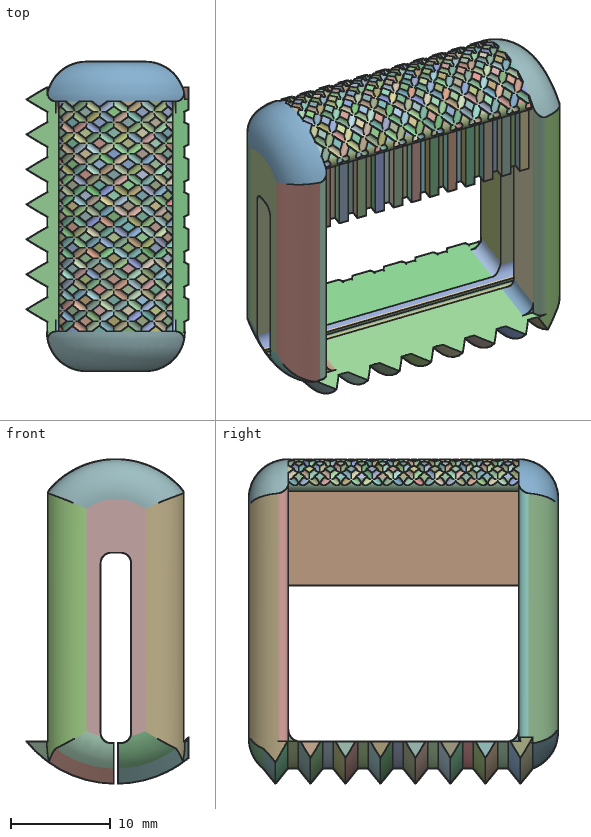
import cadquery as cq
import math

LENGTH = 31.0
HEIGHT = 32.5
WALL = 4.0
CORNER_R = 4.0
FLAT_HALF_WIDTH = 2.93
INNER_EDGE_R = 0.8
CROWN_R = 8.78

WINDOW_HALF = LENGTH / 2 - WALL
CROWN_AXIS_Z = HEIGHT - CROWN_R

FLOOR_Z = 4.25
FLOOR_FILLET_R = 1.15
TOOTH_TIP_R = 11.55
TOOTH_DEPTH = 1.53
TOOTH_HALF_WIDTH = 1.25
TOOTH_COUNT = 8
FIRST_TOOTH_Y = 11.7
LAST_TOOTH_Y = -12.8
TOOTH_CUT_X = 7.28

BASE_R = TOOTH_TIP_R - TOOTH_DEPTH
BASE_AXIS_Z = TOOTH_TIP_R
TOOTH_PITCH = (FIRST_TOOTH_Y - LAST_TOOTH_Y) / (TOOTH_COUNT - 1)

SLOT_WIDTH = 3.02
SLOT_BOTTOM = 4.1
SLOT_TOP = 23.1
SLOT_CORNER_R = 1.0
SLIT_WIDTH = 0.4

PAD_BOTTOM = 29.3
PAD_EDGE_R = 0.75
BEAM_HALF_WIDTH = 5.0
RIBBED_SIDE_BOTTOM = 21.72
PLAIN_SIDE_BOTTOM = 19.83
RIB_GROOVES = 11
RIB_GROOVE_DEPTH = 1.0

KNURL_ROWS = 11
KNURL_COLUMNS = 10
KNURL_CELL_ANGLE = 9.5
KNURL_PHASE = -1.3
KNURL_GROOVE_R = 0.4
KNURL_OVERRUN = 5.0

KNURL_CELL_LENGTH = WINDOW_HALF / KNURL_ROWS


def block(x0, x1, y0, y1, z0, z1):
    """Box given by its limits on the three axes."""
    return cq.Workplane("XY").box(x1 - x0, y1 - y0, z1 - z0, centered=False).translate((x0, y0, z0))


def base_end_center(tooth_edge):
    """Distance from the base axis to the centre of an end rounding.

    The rounding is tangent to the end face and meets the base at the outer tooth edge.
    """
    return BASE_R - math.sqrt(CORNER_R**2 - (tooth_edge - WINDOW_HALF) ** 2)


def envelope():
    """Outer shape limiting the crown above and the base below."""
    big = HEIGHT
    crown = cq.Workplane("XZ", origin=(0, LENGTH / 2, CROWN_AXIS_Z)).circle(CROWN_R).extrude(LENGTH)
    crown = crown.edges("%CIRCLE").fillet(CORNER_R)
    crown = crown.intersect(block(-big, big, -big, big, CROWN_AXIS_Z, big))
    first_edge = FIRST_TOOTH_Y + TOOTH_HALF_WIDTH
    last_edge = LAST_TOOTH_Y - TOOTH_HALF_WIDTH
    base = (
        cq.Workplane("YZ", origin=(0, 0, BASE_AXIS_Z))
        .moveTo(-LENGTH / 2, 0)
        .lineTo(-LENGTH / 2, -base_end_center(-last_edge))
        .radiusArc((last_edge, -BASE_R), -CORNER_R)
        .lineTo(first_edge, -BASE_R)
        .radiusArc((LENGTH / 2, -base_end_center(first_edge)), -CORNER_R)
        .lineTo(LENGTH / 2, 0)
        .close()
        .revolve(360, (0, 0), (1, 0))
    )
    base = base.intersect(block(-big, big, -big, big, 0, BASE_AXIS_Z))
    middle = block(-CROWN_R, CROWN_R, -LENGTH / 2, LENGTH / 2, BASE_AXIS_Z, CROWN_AXIS_Z)
    return middle.union(crown).union(base)


def full_plan(height):
    """Rounded rectangle covering the whole part seen along Z."""
    width = 2 * (FLAT_HALF_WIDTH + CORNER_R)
    return cq.Workplane("XY").rect(width, LENGTH).extrude(height).edges("|Z").fillet(CORNER_R)


def leg():
    """Leg at the +Y end: flat, large outer rounds, small inner rounds."""
    reach = CORNER_R - INNER_EDGE_R
    small_x = FLAT_HALF_WIDTH + math.sqrt(reach**2 - INNER_EDGE_R**2)
    small_y = WINDOW_HALF + INNER_EDGE_R
    scale = CORNER_R / reach
    touch = (FLAT_HALF_WIDTH + (small_x - FLAT_HALF_WIDTH) * scale, WINDOW_HALF + INNER_EDGE_R * scale)
    outer_mid_angle = math.asin(INNER_EDGE_R / reach) / 2 + math.pi / 4
    outer_mid = (
        FLAT_HALF_WIDTH + CORNER_R * math.cos(outer_mid_angle),
        WINDOW_HALF + CORNER_R * math.sin(outer_mid_angle),
    )
    diagonal = INNER_EDGE_R * math.sqrt(0.5)
    inner_mid = (small_x + diagonal, small_y - diagonal)
    half = (
        cq.Workplane("XY")
        .moveTo(0, WINDOW_HALF)
        .lineTo(small_x, WINDOW_HALF)
        .threePointArc(inner_mid, touch)
        .threePointArc(outer_mid, (FLAT_HALF_WIDTH, LENGTH / 2))
        .lineTo(0, LENGTH / 2)
        .close()
        .extrude(HEIGHT)
    )
    floor_fillet = (
        cq.Workplane("YZ")
        .moveTo(WINDOW_HALF, FLOOR_Z)
        .lineTo(WINDOW_HALF, FLOOR_Z + FLOOR_FILLET_R)
        .radiusArc((WINDOW_HALF - FLOOR_FILLET_R, FLOOR_Z), FLOOR_FILLET_R)
        .close()
        .extrude(small_x)
    )
    half = half.union(floor_fillet)
    return half.union(half.mirror("YZ"))


def tooth(y, outer_half_only=False):
    """Ring of triangular section around the base axis, crest at the given Y."""
    inner_y = y if outer_half_only else y - TOOTH_HALF_WIDTH
    ring = (
        cq.Workplane("YZ")
        .moveTo(y, 0)
        .lineTo(y + TOOTH_HALF_WIDTH, TOOTH_DEPTH)
        .lineTo(inner_y, TOOTH_DEPTH)
        .close()
    )
    return ring.revolve(360, (0, BASE_AXIS_Z), (1, BASE_AXIS_Z))


def with_teeth(body):
    """Body with all teeth but the last, flush with the floor and trimmed flat on the +X side."""
    limit = block(-HEIGHT, TOOTH_CUT_X, -LENGTH, LENGTH, 0, FLOOR_Z)
    for i in range(TOOTH_COUNT - 1):
        body = body.union(tooth(FIRST_TOOTH_Y - i * TOOTH_PITCH).intersect(limit))
    lug_limit = block(0, TOOTH_CUT_X, 0, LENGTH, 0, BASE_AXIS_Z)
    return body.union(tooth(FIRST_TOOTH_Y, outer_half_only=True).intersect(lug_limit))


def knurl_groove(mirrored):
    """One diagonal of the knurl: a round helical groove joining two neighbouring crossings.

    The crossing rows and columns are mirror planes of the knurl, so the groove is
    trimmed to the cell between them. The cell ends at the top of the crown on its +X
    side and starts at Y = 0; its crown axis is the Y axis.
    """
    reach = KNURL_CELL_ANGLE / 2 + KNURL_OVERRUN
    lead = KNURL_CELL_LENGTH * 360 / KNURL_CELL_ANGLE
    rise = lead * 2 * reach / 360
    path = cq.Wire.makeHelix(lead, rise, CROWN_R)
    slope = lead / (2 * math.pi * CROWN_R)
    start = cq.Plane(origin=(CROWN_R, 0, 0), xDir=(1, 0, 0), normal=(0, 1, slope))
    tube = cq.Workplane(start).circle(KNURL_GROOVE_R).sweep(cq.Workplane(path), isFrenet=True)
    tube = tube.translate((0, 0, (KNURL_CELL_LENGTH - rise) / 2))
    tube = tube.rotate((0, 0, 0), (0, 0, 1), KNURL_CELL_ANGLE / 2 - reach)
    side = 2 * CROWN_R
    opening = math.radians(KNURL_CELL_ANGLE)
    far_corner = (side * math.cos(opening), side * math.sin(opening))
    cell = cq.Workplane("XY").polyline([(0, 0), (side, 0), far_corner]).close().extrude(KNURL_CELL_LENGTH)
    groove = tube.intersect(cell)
    if mirrored:
        groove = groove.mirror("XY").translate((0, 0, KNURL_CELL_LENGTH))
    groove = groove.rotate((0, 0, 0), (0, 0, 1), 90).rotate((0, 0, 0), (1, 0, 0), 90)
    return groove.translate((0, KNURL_CELL_LENGTH, 0))


def knurl_strip():
    """Slice of the pad, one cell long, from Y = 0 towards +Y."""
    strip = cq.Workplane("XZ", origin=(0, KNURL_CELL_LENGTH, CROWN_AXIS_Z)).circle(CROWN_R)
    strip = strip.extrude(KNURL_CELL_LENGTH)
    strip = strip.intersect(block(-CROWN_R, CROWN_R, -LENGTH, LENGTH, PAD_BOTTOM, HEIGHT))
    strip = strip.edges("|Y").fillet(PAD_EDGE_R)
    grooves = [knurl_groove(False), knurl_groove(True)]
    cutters = []
    for column in range(KNURL_COLUMNS):
        angle = KNURL_PHASE + (column + 1 - KNURL_COLUMNS // 2) * KNURL_CELL_ANGLE
        groove = grooves[(column + 1) % 2].rotate((0, 0, 0), (0, 1, 0), angle)
        cutters.append(groove.translate((0, 0, CROWN_AXIS_Z)).val())
    return strip.val().cut(*cutters)


def stack(piece, count):
    """Solid of several knurl repeats set end to end along +Y, joined by halves."""
    if count == 1:
        return piece
    step = cq.Vector(0, 2 * KNURL_CELL_LENGTH, 0)
    half_count = count // 2
    half = stack(piece, half_count)
    joined = half.fuse(half.moved(cq.Location(step * half_count)), glue=True).clean()
    if count % 2:
        joined = joined.fuse(piece.moved(cq.Location(step * (count - 1))), glue=True).clean()
    return joined


def knurled_pad():
    """Crown segment with rounded long edges and a diamond knurl."""
    strip = knurl_strip()
    mirrored_strip = strip.mirror("XZ", (0, KNURL_CELL_LENGTH, 0))
    row = strip.fuse(mirrored_strip, glue=True).clean()
    return cq.Workplane(stack(row, KNURL_ROWS)).translate((0, -WINDOW_HALF, 0))


def beam():
    """Solid below the pad, ribbed on the -X side and plain on the +X side."""
    ribbed = block(-BEAM_HALF_WIDTH, 0, -WINDOW_HALF, WINDOW_HALF, RIBBED_SIDE_BOTTOM, PAD_BOTTOM)
    plain = block(0, BEAM_HALF_WIDTH, -WINDOW_HALF, WINDOW_HALF, PLAIN_SIDE_BOTTOM, PAD_BOTTOM)
    stripe = 2 * WINDOW_HALF / (2 * RIB_GROOVES + 1)
    for i in range(RIB_GROOVES):
        y = -WINDOW_HALF + (2 * i + 1) * stripe
        groove_floor = RIB_GROOVE_DEPTH - BEAM_HALF_WIDTH
        ribbed = ribbed.cut(
            block(-BEAM_HALF_WIDTH, groove_floor, y, y + stripe, RIBBED_SIDE_BOTTOM, PAD_BOTTOM)
        )
    return ribbed.union(plain)


def slot():
    """Rounded slot along the whole part, opened downwards by a thin slit."""
    half = SLOT_WIDTH / 2
    hole = block(-half, half, -LENGTH, LENGTH, SLOT_BOTTOM, SLOT_TOP).edges("|Y").fillet(SLOT_CORNER_R)
    return hole.union(block(-SLIT_WIDTH / 2, SLIT_WIDTH / 2, -LENGTH, LENGTH, 0, FLOOR_Z))


end_leg = leg()
frame = full_plan(FLOOR_Z).union(end_leg).union(end_leg.mirror("XZ"))
frame = frame.intersect(envelope().union(tooth(LAST_TOOTH_Y)))
frame = with_teeth(frame)
result = frame.union(beam()).cut(slot()).union(knurled_pad()).solids()